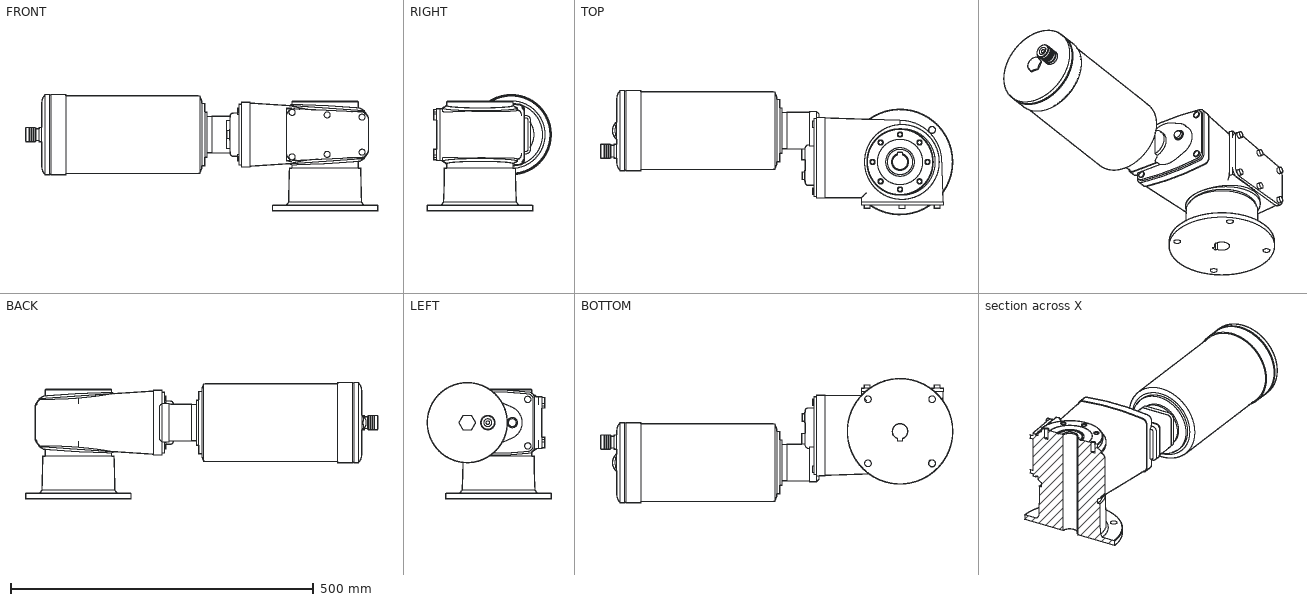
import cadquery as cq
import math


tool_margin = 1.0

motor_y = 51.8
cap_radius = 66.5
cap_face_radius = 53.0
body_radius = 64.5
cap_face_x = -468.8
cap_shoulder_x = -463.2
cap_arc_point = (-467.0, 61.0)
cap_end_x = -429.0
body_taper_x = -210.5
body_end_x = -207.0
body_end_radius = 64.0
body_bevel_end_x = -204.0
body_bevel_radius = 56.0
pilot_radius = 51.8
pilot_end_x = -198.9
spigot_radius = 37.5
spigot_end_x = -195.0
groove_x = -455.6
groove_width = 2.0
groove_depth = 0.6

connector_y = motor_y - 34.0
connector_tip_x = -495.5
connector_radius = 11.9
connector_sleeve_end_x = -478.6
connector_neck_radius = 9.9
connector_collar_x = -473.0
connector_chamfer = 1.0
connector_groove_pitch = 3.0
connector_groove_count = 3
connector_groove_first = 6.0
connector_groove_size = 0.8
socket_diameter = 13.0
socket_depth = 8.0
socket_pin_diameter = 6.0
socket_pin_setback = 1.0
plug_across_flats = 24.0
plug_tip_x = -476.0
plug_crown_point = (-474.2, 8.0)

neck_size = 61.0
neck_root_size = 60.5
neck_root_end_x = -187.2
neck_edge_radius = 7.5
neck_collar_size = 63.5
neck_collar_start_x = -149.5
neck_collar_end_x = -134.0
neck_collar_chamfer = 4.0

case_start_x = -138.0
case_end_x = 71.5
case_low_y = -59.3
case_high_y = 73.5
case_far_y = 69.0
case_mid_y = (case_low_y + case_high_y) / 2
case_half_width = (case_high_y - case_low_y) / 2
case_start_crown = 53.8
case_end_crown = 39.0
crown_radius = 460.0
crown_overhang = 14.0
case_edge_radius = 9.5
case_end_corner = 14.0
case_end_clearance = 0.5
rim_end_x = -123.8
rim_step = 0.4
rim_start_x = case_start_x - 0.5
end_plate_x = -142.5
end_plate_inset = 2.0
end_plate_half_height = 51.0
end_screw_y_inset = 9.0
end_screw_z = 38.5
end_screw_diameter = 10.5
end_screw_head = 2.0

cover_face_y = -71.6
cover_back_y = -66.0
cover_left_x = -64.0
cover_right_x = 72.3
cover_left_z = 43.5
cover_right_z = 37.0
cover_corner = 13.0
foot_slant = 18.0
side_screw_diameter = 10.0
side_screw_head = 5.2
side_screw_places = [(-54.5, 36.8), (3.6, 32.6), (61.3, 29.0)]

lobe_face_x = -157.0
lobe_big_y = 9.0
lobe_big_radius = 36.0
lobe_small_y = -11.0
lobe_small_radius = 28.0
lobe_edge_radius = 5.0
boss_diameter = 47.5
boss_y = 27.0
boss_face_x = -163.0
lobe_screw_y = -22.8
lobe_screw_diameter = 13.0
lobe_screw_washer_diameter = 17.0
lobe_screw_washer_thickness = 1.0
lobe_screw_head = 5.2

hub_radius = 55.0
hub_half_height = 55.3
hub_chamfer = 1.0
hub_skirt_radius = 62.0
hub_skirt_height = 4.0
hub_recess_diameter = 75.0
hub_recess_depth = 0.5
sleeve_diameter = 47.5
sleeve_inner_diameter = 42.0
sleeve_groove_depth = 1.5
hub_bolt_circle = 91.0
hub_hole_count = 8
hub_hole_diameter = 6.65
hub_hole_mouth = 8.9
hub_hole_depth = 18.0
bore_diameter = 25.0
bore_chamfer = 1.5
key_width = 8.0
key_top = 15.8
barrel_top_radius = 59.2
barrel_bottom_radius = 60.5
barrel_foot_radius = 64.0
barrel_foot_height = 5.0
flange_bottom_z = -126.0
flange_thickness = 9.5
flange_radius = 87.5
flange_chamfer = 1.0
flange_hole_circle = 150.0
flange_hole_diameter = 11.0
flange_hole_count = 4
flange_hole_start_angle = 45.0


def x_cylinder(start_x, end_x, diameter, y, z=0.0):
    """Cylinder along X between two stations."""
    face = cq.Workplane("YZ", origin=(start_x, y, z))
    return face.circle(diameter / 2).extrude(end_x - start_x)


def x_box(start_x, end_x, size, y):
    """Square bar along X."""
    return cq.Workplane("YZ", origin=(start_x, y, 0)).rect(size, size).extrude(end_x - start_x)


def make_motor():
    outline = (
        cq.Workplane("XY")
        .moveTo(cap_face_x, 0)
        .lineTo(cap_face_x, cap_face_radius)
        .threePointArc(cap_arc_point, (cap_shoulder_x, cap_radius))
        .lineTo(cap_end_x, cap_radius)
        .lineTo(cap_end_x, body_radius)
        .lineTo(body_taper_x, body_radius)
        .lineTo(body_end_x, body_end_radius)
        .lineTo(body_bevel_end_x, body_bevel_radius)
        .lineTo(body_bevel_end_x, pilot_radius)
        .lineTo(pilot_end_x, pilot_radius)
        .lineTo(pilot_end_x, spigot_radius)
        .lineTo(spigot_end_x, spigot_radius)
        .lineTo(spigot_end_x, 0)
        .close()
    )
    motor = outline.revolve(360, (0, 0, 0), (1, 0, 0)).translate((0, motor_y, 0))
    groove_end_x = groove_x + groove_width
    ring = x_cylinder(groove_x, groove_end_x, 2 * (cap_radius + tool_margin), motor_y)
    ring = ring.cut(x_cylinder(groove_x, groove_end_x, 2 * (cap_radius - groove_depth), motor_y))
    return motor.cut(ring)


def make_connector():
    sleeve = x_cylinder(connector_tip_x, connector_sleeve_end_x, 2 * connector_radius, connector_y)
    sleeve = sleeve.edges().chamfer(connector_chamfer)
    for index in range(connector_groove_count):
        start = connector_tip_x + connector_groove_first + index * connector_groove_pitch
        end = start + connector_groove_size
        ring = x_cylinder(start, end, 2 * (connector_radius + tool_margin), connector_y)
        core = x_cylinder(start, end, 2 * (connector_radius - connector_groove_size), connector_y)
        sleeve = sleeve.cut(ring.cut(core))
    socket_end_x = connector_tip_x + socket_depth
    sleeve = sleeve.cut(x_cylinder(connector_tip_x, socket_end_x, socket_diameter, connector_y))
    pin = x_cylinder(connector_tip_x + socket_pin_setback, socket_end_x, socket_pin_diameter, connector_y)
    neck = x_cylinder(connector_sleeve_end_x, cap_face_x, 2 * connector_neck_radius, connector_y)
    collar = x_cylinder(connector_collar_x, cap_face_x, 2 * connector_radius, connector_y)
    return sleeve.union(pin).union(neck).union(collar)


def make_plug():
    """Hexagonal plug with a domed crown."""
    corner_diameter = plug_across_flats / math.cos(math.pi / 6)
    prism = (
        cq.Workplane("YZ", origin=(plug_tip_x, motor_y, 0))
        .polygon(6, corner_diameter)
        .extrude(cap_face_x - plug_tip_x)
    )
    crown = (
        cq.Workplane("XY")
        .moveTo(plug_tip_x, 0)
        .threePointArc(plug_crown_point, (cap_face_x, corner_diameter / 2 + tool_margin))
        .lineTo(cap_face_x, 0)
        .close()
        .revolve(360, (0, 0, 0), (1, 0, 0))
        .translate((0, motor_y, 0))
    )
    return prism.intersect(crown)


def make_neck():
    root = x_box(spigot_end_x, neck_root_end_x, neck_root_size, motor_y)
    root = root.edges("|X").fillet(neck_edge_radius)
    bar = x_box(neck_root_end_x, case_start_x, neck_size, motor_y)
    bar = bar.edges("|X").fillet(neck_edge_radius)
    collar = x_box(neck_collar_start_x, neck_collar_end_x, neck_collar_size, motor_y)
    collar = collar.edges("|X").fillet(neck_edge_radius).faces(">X").chamfer(neck_collar_chamfer)
    return root.union(bar).union(collar)


def crowned_section(plane, half_width, crown):
    """Closed section in YZ with arched top and bottom; the sag follows from the arch radius."""
    edge_z = crown - crown_radius + math.sqrt(crown_radius**2 - half_width**2)
    return (
        plane.moveTo(-half_width, -edge_z)
        .threePointArc((0, -crown), (half_width, -edge_z))
        .lineTo(half_width, edge_z)
        .threePointArc((0, crown), (-half_width, edge_z))
        .close()
    )


def make_wedge():
    """Crowned block, thinner towards +X, that bounds the case above and below."""
    half_width = case_half_width + crown_overhang
    plane = cq.Workplane("YZ", origin=(case_start_x, case_mid_y, 0))
    wedge = crowned_section(plane, half_width, case_start_crown)
    wedge = wedge.workplane(offset=case_end_x - case_start_x)
    return crowned_section(wedge, half_width, case_end_crown).loft(ruled=True)


def make_input_half():
    """Part of the case between the end plate and the bore axis."""
    block = (
        cq.Workplane("XY", origin=(0, 0, -case_start_crown))
        .moveTo(case_start_x, case_low_y)
        .lineTo(0, case_low_y)
        .lineTo(0, case_far_y)
        .lineTo(case_start_x, case_high_y)
        .close()
        .extrude(2 * case_start_crown)
        .intersect(make_wedge())
    )
    return block.faces(">Z or <Z").edges("<Y or >Y").fillet(case_edge_radius)


def make_output_half():
    """Part of the case that carries the side cover and rounds the bore axis."""
    arc_reach = case_far_y * math.sqrt(0.5)
    block = (
        cq.Workplane("XY", origin=(0, 0, -case_start_crown))
        .moveTo(cover_left_x, cover_back_y)
        .lineTo(case_end_x, cover_back_y)
        .lineTo(case_far_y, 0)
        .threePointArc((arc_reach, arc_reach), (0, case_far_y))
        .lineTo(0, 0)
        .lineTo(cover_left_x + foot_slant, case_low_y + foot_slant)
        .lineTo(cover_left_x, case_low_y)
        .close()
        .extrude(2 * case_start_crown)
        .intersect(make_wedge())
    )
    free_side = cq.selectors.BoxSelector(
        (arc_reach / 2, cover_back_y + tool_margin, -case_start_crown),
        (case_end_x, case_far_y, case_start_crown),
    )
    block = block.faces(">Z or <Z").edges(free_side).fillet(case_edge_radius)

    start_z = case_start_crown + case_end_clearance
    end_z = case_end_crown + case_end_clearance
    rounded_end = (
        cq.Workplane("XZ", origin=(0, case_high_y, 0))
        .moveTo(case_start_x, -start_z)
        .lineTo(case_end_x, -end_z)
        .lineTo(case_end_x, end_z)
        .lineTo(case_start_x, start_z)
        .close()
        .extrude(case_high_y - cover_back_y + tool_margin)
        .edges("|Y and >X")
        .fillet(case_end_corner)
    )
    return block.intersect(rounded_end)


def make_rim():
    """Slightly proud band where the case meets its end plate."""
    plane = cq.Workplane("YZ", origin=(rim_start_x, case_mid_y, 0))
    band = crowned_section(plane, case_half_width + rim_step, case_start_crown + rim_step)
    band = band.extrude(rim_end_x - rim_start_x)
    return band.edges("|X").fillet(case_edge_radius)


def make_end_plate():
    half_width = case_half_width - end_plate_inset
    plane = cq.Workplane("YZ", origin=(end_plate_x, case_mid_y, 0))
    plate = crowned_section(plane, half_width, end_plate_half_height)
    plate = plate.extrude(case_start_x - end_plate_x).edges("|X").fillet(case_edge_radius)
    screw_reach = half_width - end_screw_y_inset
    for side in (-1, 1):
        for level in (-end_screw_z, end_screw_z):
            screw_y = case_mid_y + side * screw_reach
            head_x = end_plate_x - end_screw_head
            plate = plate.union(x_cylinder(head_x, case_start_x, end_screw_diameter, screw_y, level))
    return plate


def make_side_cover():
    cover = (
        cq.Workplane("XZ", origin=(0, cover_face_y, 0))
        .moveTo(cover_left_x, -cover_left_z)
        .lineTo(cover_right_x, -cover_right_z)
        .lineTo(cover_right_x, cover_right_z)
        .lineTo(cover_left_x, cover_left_z)
        .close()
        .extrude(cover_face_y - cover_back_y)
        .edges("|Y")
        .fillet(cover_corner)
    )
    for place_x, place_z in side_screw_places:
        for level in (-place_z, place_z):
            head = cq.Workplane("XZ", origin=(place_x, cover_back_y, level))
            head = head.circle(side_screw_diameter / 2)
            cover = cover.union(head.extrude(cover_back_y - cover_face_y + side_screw_head))
    return cover


def make_lobe():
    """Egg-shaped cover: two circles joined by their outer tangents."""
    lean = math.asin((lobe_big_radius - lobe_small_radius) / (lobe_big_y - lobe_small_y))
    big_y = lobe_big_y - lobe_big_radius * math.sin(lean)
    big_z = lobe_big_radius * math.cos(lean)
    small_y = lobe_small_y - lobe_small_radius * math.sin(lean)
    small_z = lobe_small_radius * math.cos(lean)
    lobe = (
        cq.Workplane("YZ", origin=(lobe_face_x, 0, 0))
        .moveTo(small_y, small_z)
        .lineTo(big_y, big_z)
        .threePointArc((lobe_big_y + lobe_big_radius, 0), (big_y, -big_z))
        .lineTo(small_y, -small_z)
        .threePointArc((lobe_small_y - lobe_small_radius, 0), (small_y, small_z))
        .close()
        .extrude(case_start_x - lobe_face_x)
        .faces("<X")
        .edges()
        .fillet(lobe_edge_radius)
    )
    washer_x = lobe_face_x - lobe_screw_washer_thickness
    head_x = lobe_face_x - lobe_screw_head
    lobe = lobe.union(x_cylinder(boss_face_x, lobe_face_x, boss_diameter, boss_y))
    lobe = lobe.union(x_cylinder(washer_x, lobe_face_x, lobe_screw_washer_diameter, lobe_screw_y))
    return lobe.union(x_cylinder(head_x, lobe_face_x, lobe_screw_diameter, lobe_screw_y))


def make_output_body():
    """Hub, barrel and mounting flange, turned about Z."""
    flange_top_z = flange_bottom_z + flange_thickness
    outline = (
        cq.Workplane("XZ")
        .moveTo(0, hub_half_height)
        .lineTo(hub_radius - hub_chamfer, hub_half_height)
        .lineTo(hub_radius, hub_half_height - hub_chamfer)
        .lineTo(hub_radius, -hub_half_height)
        .lineTo(barrel_top_radius, -hub_half_height)
        .lineTo(barrel_bottom_radius, flange_top_z + barrel_foot_height)
        .lineTo(barrel_foot_radius, flange_top_z)
        .lineTo(flange_radius - flange_chamfer, flange_top_z)
        .lineTo(flange_radius, flange_top_z - flange_chamfer)
        .lineTo(flange_radius, flange_bottom_z)
        .lineTo(0, flange_bottom_z)
        .close()
    )
    return outline.revolve(360, (0, 0, 0), (0, 1, 0))


def make_hub_skirts():
    """Flared feet of the hub, tilted to follow the sloping top and bottom of the case."""
    slope = (case_start_crown - case_end_crown) / (case_end_x - case_start_x)
    foot_z = case_start_crown + slope * case_start_x
    skirt = (
        cq.Workplane("XZ")
        .lineTo(hub_skirt_radius, 0)
        .lineTo(hub_skirt_radius, foot_z)
        .lineTo(hub_radius, foot_z + hub_skirt_height)
        .lineTo(0, foot_z + hub_skirt_height)
        .close()
        .revolve(360, (0, 0, 0), (0, 1, 0))
    )
    tilt = math.degrees(math.atan(slope))
    upper = skirt.rotate((0, 0, 0), (0, 1, 0), tilt)
    return upper.union(upper.mirror("XY"))


def cut_hub_face(body):
    """Shallow recess, sleeve ring and tapped holes on top of the hub."""
    top = cq.Workplane("XY", origin=(0, 0, hub_half_height))
    body = body.cut(top.circle(hub_recess_diameter / 2).extrude(-hub_recess_depth))
    ring = top.circle(sleeve_diameter / 2).circle(sleeve_inner_diameter / 2)
    body = body.cut(ring.extrude(-hub_recess_depth - sleeve_groove_depth))
    return body.cut(make_hub_holes())


def make_hub_holes():
    mouth_depth = (hub_hole_mouth - hub_hole_diameter) / 2
    hole = (
        cq.Workplane("XZ")
        .moveTo(0, hub_half_height)
        .lineTo(hub_hole_mouth / 2, hub_half_height)
        .lineTo(hub_hole_diameter / 2, hub_half_height - mouth_depth)
        .lineTo(hub_hole_diameter / 2, hub_half_height - hub_hole_depth)
        .lineTo(0, hub_half_height - hub_hole_depth)
        .close()
        .revolve(360, (0, 0, 0), (0, 1, 0))
        .translate((hub_bolt_circle / 2, 0, 0))
    )
    holes = hole
    for index in range(1, hub_hole_count):
        holes = holes.union(hole.rotate((0, 0, 0), (0, 0, 1), index * 360 / hub_hole_count))
    return holes


def cut_bore(body):
    """Keyed through bore with a chamfered mouth."""
    base = cq.Workplane("XY", origin=(0, 0, flange_bottom_z))
    height = hub_half_height - flange_bottom_z
    bore = base.circle(bore_diameter / 2).extrude(height)
    keyway = base.center(0, key_top / 2).rect(key_width, key_top).extrude(height)
    mouth_z = hub_half_height - hub_recess_depth
    mouth = cq.Solid.makeCone(
        bore_diameter / 2,
        bore_diameter / 2 + bore_chamfer,
        bore_chamfer,
        cq.Vector(0, 0, mouth_z - bore_chamfer),
    )
    return body.cut(bore).cut(keyway).cut(cq.Workplane(mouth))


def cut_flange_holes(body):
    base = cq.Workplane("XY", origin=(0, 0, flange_bottom_z))
    places = base.polarArray(flange_hole_circle / 2, flange_hole_start_angle, 360, flange_hole_count)
    return body.cut(places.circle(flange_hole_diameter / 2).extrude(flange_thickness))


result = make_input_half()
for piece in (
    make_output_half(),
    make_rim(),
    make_side_cover(),
    make_output_body(),
    make_hub_skirts(),
    make_end_plate(),
    make_lobe(),
    make_neck(),
    make_motor(),
    make_connector(),
    make_plug(),
):
    result = result.union(piece)
result = cut_hub_face(result)
result = cut_bore(result)
result = cut_flange_holes(result)